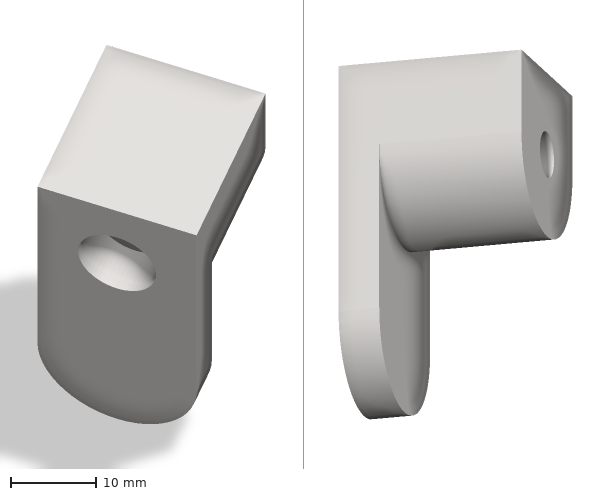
import cadquery as cq

width = 20.0
height = 40.0
depth = 22.5
plate_thickness = 5.0
hole_diameter = 5.5
counterbore_diameter = 9.8
counterbore_depth = 6.0

end_radius = width / 2
hole_height = height - end_radius


def round_bottom_block(center_height, length):
    """Block from the front face back, flat on top and rounded about center_height below."""
    return (
        cq.Workplane("XZ")
        .moveTo(-end_radius, height)
        .lineTo(-end_radius, center_height)
        .threePointArc((0, center_height - end_radius), (end_radius, center_height))
        .lineTo(end_radius, height)
        .close()
        .extrude(-length)
    )


def bore(diameter, length):
    """Cylinder running back from the front face on the hole axis."""
    return cq.Workplane("XZ").center(0, hole_height).circle(diameter / 2).extrude(-length)


plate = round_bottom_block(end_radius, plate_thickness)
block = round_bottom_block(hole_height, depth)

result = (
    plate.union(block)
    .cut(bore(hole_diameter, depth))
    .cut(bore(counterbore_diameter, counterbore_depth))
)